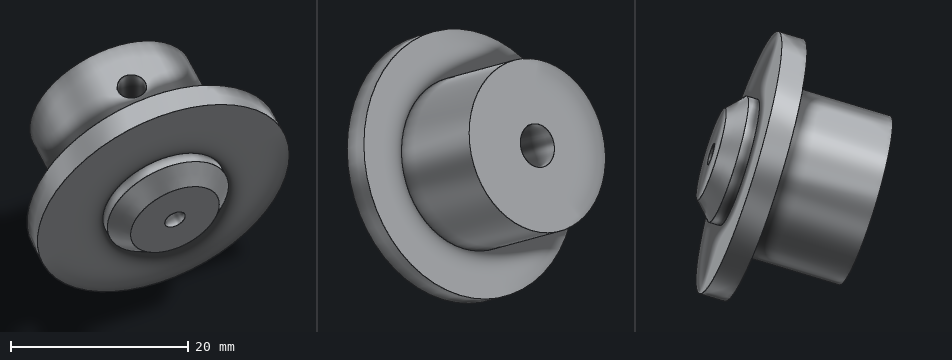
import cadquery as cq

hub_diameter = 20.0
hub_length = 12.0

flange_diameter = 31.0
flange_thickness = 3.0

boss_diameter = 14.9
boss_length = 3.3
boss_chamfer = 2.0

shaft_bore_diameter = 5.0
shaft_bore_depth = hub_length
through_hole_diameter = 2.5

screw_hole_diameter = 3.3
screw_hole_x = hub_length / 2

total_length = hub_length + flange_thickness + boss_length


def axial_cylinder(diameter, start_x, length):
    """Cylinder centred on the X axis."""
    return cq.Workplane("YZ", origin=(start_x, 0, 0)).circle(diameter / 2).extrude(length)


def make_body():
    """Hub, flange and chamfered boss joined end to end."""
    hub = axial_cylinder(hub_diameter, 0, hub_length)
    flange = axial_cylinder(flange_diameter, hub_length, flange_thickness)
    boss = axial_cylinder(boss_diameter, hub_length + flange_thickness, boss_length)
    boss = boss.faces(">X").chamfer(boss_chamfer)
    return hub.union(flange).union(boss)


def make_axial_bore():
    """Shaft bore and the smaller hole running the full length."""
    shaft_bore = axial_cylinder(shaft_bore_diameter, 0, shaft_bore_depth)
    through_hole = axial_cylinder(through_hole_diameter, 0, total_length)
    return shaft_bore.union(through_hole)


def make_screw_hole():
    """Radial hole from the axis up through the top of the hub."""
    base = cq.Workplane("XY", origin=(screw_hole_x, 0, 0))
    return base.circle(screw_hole_diameter / 2).extrude(hub_diameter / 2)


result = make_body().cut(make_axial_bore()).cut(make_screw_hole())